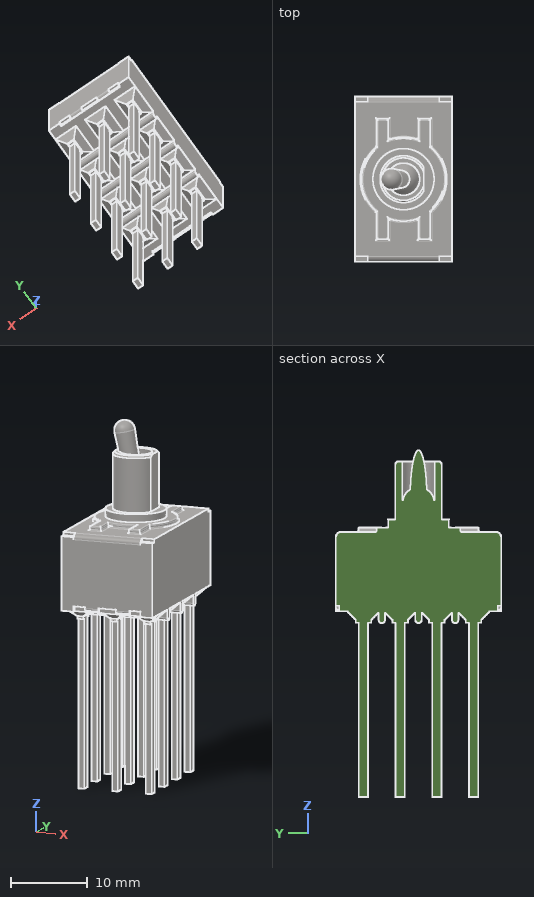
import cadquery as cq
import math


width = 12.7
length = 21.6
height = 47.9

case_height = 10.4
sheet = 0.45
end_bend_radius = 0.7
end_flap_width = 9.35
flap_bottom = 0.7
tab_width = 1.85
tab_spacing = 4.3
tab_bottom = 0.2
tab_bend_radius = 0.4

column_pitch = 4.7
row_pitch = 4.8
columns = 3
rows = 4
pin_x = 0.8
pin_y = 1.25
pin_reach = 24.25
shoulder_y = 2.05
shoulder_reach = 1.5
flare_foot_x = 1.05
flare = 1.1
rib_width = 0.85
rib_reach = 1.55

gasket_height = 0.57
gasket_diameter = 10.95
leg_width = 1.55
leg_spacing = 5.45
leg_tip_spacing = 15.7
gasket_fillet = 0.168

flange_diameter = 8.0
flange_height = 1.05
bushing_diameter = 6.15
bushing_height = 7.55
bushing_chamfer = 0.3
bushing_flat_x = 2.65
bore_diameter = 4.2

tip_radius = 1.4
tip_offset = 1.6
lever_tilt = 11.0
lever_ball_radius = 1.15

gasket_top = case_height + gasket_height
flange_top = gasket_top + flange_height
bushing_top = flange_top + bushing_height
tip_z = height - pin_reach - tip_radius
pivot_z = tip_z - tip_offset / math.tan(math.radians(lever_tilt))


def block(size_x, size_y, bottom, top, x=0, y=0):
    """Box centred on (x, y) between two heights."""
    return (
        cq.Workplane("XY", origin=(x, y, bottom))
        .rect(size_x, size_y)
        .extrude(top - bottom)
    )


def centred(count, pitch):
    """Evenly spaced positions centred on zero."""
    return [(i - (count - 1) / 2) * pitch for i in range(count)]


def make_case():
    """Side walls with a lower rim, and a cover that bends down over both ends."""
    walls = block(width, length, 0, case_height - sheet)
    lid = block(width, length - 2 * end_bend_radius, case_height - sheet, case_height)
    cover = (
        block(end_flap_width, length, flap_bottom, case_height)
        .edges("|X and >Z")
        .fillet(end_bend_radius)
    )
    for side in (-1, 1):
        end_y = side * length / 2
        recess = block(end_flap_width, 2 * sheet, 0, case_height, y=end_y)
        walls = walls.cut(recess)
    case = walls.union(lid).union(cover)
    for side in (-1, 1):
        tab_y = side * (length / 2 - sheet / 2)
        outer_edge = ">Y" if side > 0 else "<Y"
        for tab_x in centred(2, tab_spacing):
            tab = block(tab_width, sheet, tab_bottom, flap_bottom + sheet, tab_x, tab_y)
            tab = tab.faces("<Z").edges(outer_edge).fillet(tab_bend_radius)
            case = case.union(tab)
    return case


def add_gasket(case):
    """Raised gasket, blended into the lid and rounded along its top edge."""
    gasket = (
        cq.Workplane("XY", origin=(0, 0, case_height))
        .circle(gasket_diameter / 2)
        .extrude(gasket_height)
    )
    for leg_x in centred(2, leg_spacing):
        gasket = gasket.union(block(leg_width, leg_tip_spacing, case_height, gasket_top, leg_x))
    gasket = gasket.faces(">Z").edges().fillet(gasket_fillet)
    foot_y = leg_tip_spacing / 2 + gasket_fillet
    foot = cq.selectors.BoxSelector(
        (-gasket_diameter / 2 - gasket_fillet, -foot_y, case_height - gasket_fillet),
        (gasket_diameter / 2 + gasket_fillet, foot_y, case_height + gasket_fillet / 4),
        boundingbox=True,
    )
    return case.union(gasket).edges(foot).fillet(gasket_fillet)


def make_bushing():
    """Flanged bushing with one flat, bored down to the equator of the lever ball."""
    bore_radius = bore_diameter / 2
    bushing_radius = bushing_diameter / 2
    flange_radius = flange_diameter / 2
    half_chord = bore_radius * math.sqrt(0.5)
    bushing = (
        cq.Workplane("XZ")
        .moveTo(0, case_height)
        .lineTo(flange_radius, case_height)
        .lineTo(flange_radius, flange_top)
        .lineTo(bushing_radius, flange_top)
        .lineTo(bushing_radius, bushing_top - bushing_chamfer)
        .lineTo(bushing_radius - bushing_chamfer, bushing_top)
        .lineTo(bore_radius, bushing_top)
        .lineTo(bore_radius, pivot_z)
        .threePointArc((half_chord, pivot_z + half_chord), (0, pivot_z + bore_radius))
        .close()
        .revolve(360, (0, 0, 0), (0, 1, 0))
    )
    flat_depth = bushing_radius - bushing_flat_x
    flat = block(
        flat_depth, bushing_diameter, flange_top, bushing_top, bushing_flat_x + flat_depth / 2
    )
    return bushing.cut(flat)


def make_lever():
    """Tapered rod with a hemispherical tip, leaning toward -X about the ball centre."""
    rod_length = tip_offset / math.sin(math.radians(lever_tilt))
    ball_exit = math.sqrt((bore_diameter / 2) ** 2 - lever_ball_radius ** 2)
    taper = (tip_radius - lever_ball_radius) / (rod_length - ball_exit)
    root_radius = tip_radius - taper * rod_length
    tip_arc = tip_radius * math.sqrt(0.5)
    lever = (
        cq.Workplane("XZ")
        .lineTo(root_radius, 0)
        .lineTo(tip_radius, rod_length)
        .threePointArc((tip_arc, rod_length + tip_arc), (0, rod_length + tip_radius))
        .close()
        .revolve(360, (0, 0, 0), (0, 1, 0))
    )
    return lever.rotate((0, 0, 0), (0, 1, 0), -lever_tilt).translate((0, 0, pivot_z))


def make_terminal(x, y):
    """Flared insulation, shoulder and long flat pin of one terminal."""
    insulation = (
        cq.Workplane("XY", origin=(x, y, -flare))
        .rect(flare_foot_x, shoulder_y)
        .workplane(offset=flare)
        .rect(flare_foot_x + 2 * flare, shoulder_y + 2 * flare)
        .loft(combine=True)
    )
    shoulder = block(pin_x, shoulder_y, -shoulder_reach, 0, x, y)
    pin = block(pin_x, pin_y, -pin_reach, 0, x, y)
    return insulation.union(shoulder).union(pin)


def make_rib(y):
    """Full-width rib with a rounded bottom between two rows of terminals."""
    wall = block(width, rib_width, rib_width / 2 - rib_reach, 0, y=y)
    nose = (
        cq.Workplane("YZ", origin=(-width / 2, y, rib_width / 2 - rib_reach))
        .circle(rib_width / 2)
        .extrude(width)
    )
    return wall.union(nose)


result = add_gasket(make_case()).union(make_bushing()).union(make_lever())
for row_y in centred(rows, row_pitch):
    for column_x in centred(columns, column_pitch):
        result = result.union(make_terminal(column_x, row_y))
for rib_y in centred(rows - 1, row_pitch):
    result = result.union(make_rib(rib_y))